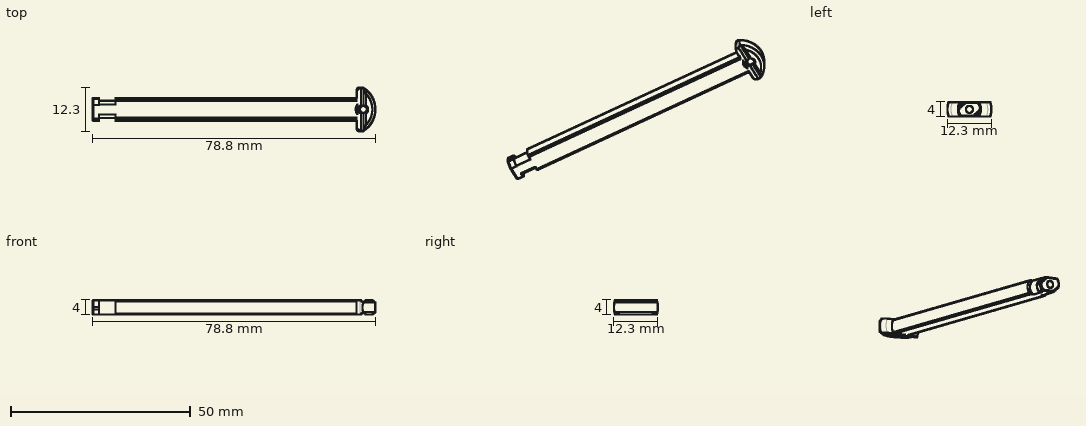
import cadquery as cq
import math

length = 78.75
thickness = 4.0
half_thickness = thickness / 2

shaft_radius = 3.2
shaft_bevel_width = 0.5
shaft_bevel_height = 0.3
shaft_start = 6.4

neck_radius = 2.45
tip_length = 1.9
tip_chamfer = 0.275
cam_flat_start = 1.25
cam_knee_y = 2.9
cam_knee_z = 0.55
cam_relief_end_z = -0.15

head_start = 73.5
head_radius = 6.15
head_corner_radius = 1.0
dome_radius = 7.0
dome_bevel_width = 0.9
dome_bevel_height = 0.7

groove_x = 75.4
groove_depth = 0.7
hole_diameter = 2.0
hole_countersink = 0.3

bore_depth = 6.3

recess_chord_x = 73.7
recess_half_length = 1.3
recess_width = 0.5
recess_depth = 0.4


def bar(radius, start, end):
    """Round bar along X."""
    return cq.Workplane("YZ", origin=(start, 0, 0)).circle(radius).extrude(end - start)


def slab():
    """Space between the two flats of the pin."""
    return cq.Workplane("XY").box(length, 4 * head_radius, thickness).translate((length / 2, 0, 0))


def make_shaft():
    bevel_z = half_thickness - shaft_bevel_height
    bevel_y = math.sqrt(shaft_radius**2 - bevel_z**2)
    flat_y = bevel_y - shaft_bevel_width
    section = (
        cq.Workplane("YZ", origin=(shaft_start, 0, 0))
        .moveTo(-flat_y, half_thickness)
        .lineTo(flat_y, half_thickness)
        .lineTo(bevel_y, bevel_z)
        .threePointArc((shaft_radius, 0), (bevel_y, -bevel_z))
        .lineTo(flat_y, -half_thickness)
        .lineTo(-flat_y, -half_thickness)
        .lineTo(-bevel_y, -bevel_z)
        .threePointArc((-shaft_radius, 0), (-bevel_y, bevel_z))
        .close()
    )
    return section.extrude(head_start + head_corner_radius - shaft_start)


def make_tip():
    """Bayonet tip: round bar with cam faces on two opposite corners."""
    relief_end_y = math.sqrt(shaft_radius**2 - cam_relief_end_z**2)
    beyond = 2 * shaft_radius
    cam_corner = (
        cq.Workplane("YZ")
        .polyline([
            (cam_flat_start, half_thickness),
            (cam_knee_y, cam_knee_z),
            (relief_end_y, cam_relief_end_z),
            (beyond, cam_relief_end_z),
            (beyond, half_thickness),
        ])
        .close()
        .extrude(tip_length)
    )
    tip = bar(shaft_radius, 0, tip_length).intersect(slab()).cut(cam_corner)
    tip = tip.cut(cam_corner.rotate((0, 0, 0), (1, 0, 0), 180))
    return tip.faces("<X").chamfer(tip_chamfer)


def make_head():
    """Disc about X with a rounded back edge, its front curved about Z and bevelled."""
    corner_shift = head_corner_radius * (1 - math.sqrt(0.5))
    disc = (
        cq.Workplane("XY")
        .moveTo(head_start, 0)
        .lineTo(head_start, head_radius - head_corner_radius)
        .threePointArc(
            (head_start + corner_shift, head_radius - corner_shift),
            (head_start + head_corner_radius, head_radius),
        )
        .lineTo(length, head_radius)
        .lineTo(length, 0)
        .close()
        .revolve(360, (0, 0, 0), (1, 0, 0))
    )
    bevel_z = half_thickness - dome_bevel_height
    top_radius = dome_radius - dome_bevel_width
    dome = (
        cq.Workplane("XZ", origin=(length - dome_radius, 0, 0))
        .polyline([
            (0, -half_thickness),
            (top_radius, -half_thickness),
            (dome_radius, -bevel_z),
            (dome_radius, bevel_z),
            (top_radius, half_thickness),
            (0, half_thickness),
        ])
        .close()
        .revolve(360, (0, 0, 0), (0, 1, 0))
    )
    rear = (
        cq.Workplane("XY")
        .box(groove_x - head_start, 2 * head_radius, thickness, centered=(False, True, True))
        .translate((head_start, 0, 0))
        .intersect(
            cq.Workplane("XY", origin=(length - dome_radius, 0, -half_thickness))
            .circle(dome_radius)
            .extrude(thickness)
        )
    )
    return disc.intersect(dome.union(rear))


def make_groove():
    """V groove running along Y in the upper flat."""
    return (
        cq.Workplane("XZ")
        .polyline([
            (groove_x - groove_depth, half_thickness),
            (groove_x, half_thickness - groove_depth),
            (groove_x + groove_depth, half_thickness),
        ])
        .close()
        .extrude(2 * head_radius, both=True)
    )


def make_countersink():
    radius = hole_diameter / 2
    return (
        cq.Workplane("XY", origin=(groove_x, 0, half_thickness))
        .circle(radius + hole_countersink)
        .workplane(offset=-hole_countersink)
        .circle(radius)
        .loft()
    )


def make_recess():
    return (
        cq.Workplane("XY", origin=(0, 0, half_thickness - recess_depth))
        .moveTo(recess_chord_x, -recess_half_length)
        .threePointArc((recess_chord_x - recess_width, 0), (recess_chord_x, recess_half_length))
        .close()
        .extrude(recess_depth)
    )


neck = bar(neck_radius, tip_length, shaft_start).intersect(slab())
result = make_tip().union(neck).union(make_shaft()).union(make_head())

for cutter in (make_groove(), make_countersink(), make_recess()):
    result = result.cut(cutter).cut(cutter.mirror("XY"))

cross_hole = (
    cq.Workplane("XY", origin=(groove_x, 0, -half_thickness))
    .circle(hole_diameter / 2)
    .extrude(thickness)
)
result = result.cut(cross_hole)
result = result.cut(bar(hole_diameter / 2, 0, bore_depth))